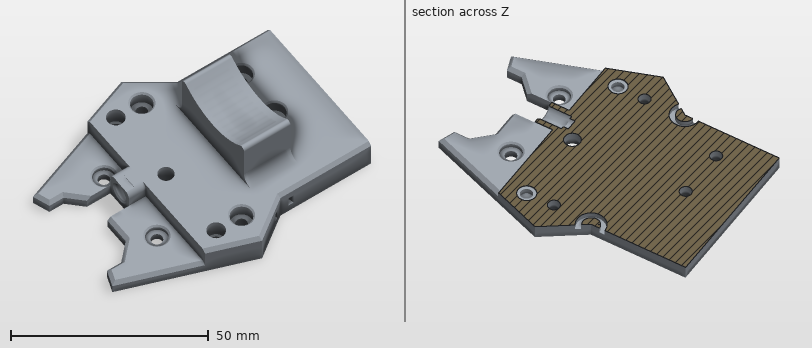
import cadquery as cq

length = 76.7
plate_height = 8.4
finger_height = 3.5
chamfer = 1.0
step_y = 22.85

rear_half_width = 22.4
shoulder_y = 48.55
elbow_half_width = 30.6
elbow_y = 36.95
tip_half_width = 17.25
tip_inner_half_width = 12.5
tip_slope = (elbow_half_width - tip_half_width) / elbow_y
tip_inner_y = (tip_half_width - tip_inner_half_width) * tip_slope
notch_half_width = 7.7
notch_y = 11.0
notch_corner_y = notch_y - (tip_inner_half_width - notch_half_width)

slot_left = -8.3
slot_right = -0.2
slot_center_x = (slot_left + slot_right) / 2
barrel_front_y = 17.6
barrel_round = 2.0
relief_depth = 0.2
relief_length = 2.45
relief_ramp_start = slot_left + barrel_round
relief_ramp_end = -4.4

bore_z = 4.45
bore_diameter = 5.0
bore_depth = 6.9
bore_tip_diameter = 3.4
bore_tip_depth = 1.5

saddle_top = 22.15
saddle_half_width = 13.4
saddle_front_y = 43.6
saddle_length = 14.4
saddle_foot_radius = 3.0
saddle_tip_radius = 1.0
saddle_bottom_z = 17.6
tip_center_x = saddle_half_width - saddle_tip_radius
tip_center_z = saddle_top - saddle_tip_radius
tip_rise = tip_center_z - saddle_bottom_z
cradle_radius = (tip_center_x**2 + tip_rise**2 - saddle_tip_radius**2) / (
    2 * (tip_rise + saddle_tip_radius)
)

screw_diameter = 3.2
head_diameter = 6.0
upper_head_depth = 3.7
finger_head_depth = 1.5
rim_chamfer = 0.45
upper_screws = [(-14.5, 62.7), (0, 62.7), (-21.6, 36.95), (21.6, 36.95)]
finger_screws = [(-11.5, 17.95), (11.5, 17.95)]

locating_y = 29.0
locating_half_spacing = 21.8
locating_diameter = 5.0
locating_depth = 5.0
locating_tip_diameter = 3.4
locating_tip_depth = 1.5
center_hole_diameter = 4.4

tie_inner_radius = 2.45
tie_outer_radius = 4.0
tie_bottom_z = 2.3
tie_height = 3.0


def chamfered_plate(height):
    """Whole outline at one height, top edge chamfered except along the rear."""
    right_side = [
        (rear_half_width, length),
        (rear_half_width, shoulder_y),
        (elbow_half_width, elbow_y),
        (tip_half_width, 0),
        (tip_inner_half_width, tip_inner_y),
        (tip_inner_half_width, notch_corner_y),
        (notch_half_width, notch_y),
    ]
    left_side = [(-x, y) for x, y in reversed(right_side)]
    plate = cq.Workplane("XY").polyline(right_side + left_side).close().extrude(height)
    return plate.faces(">Z").edges("not >Y").chamfer(chamfer)


def box(x_min, x_max, y_min, y_max, z_min, z_max):
    size = (x_max - x_min, y_max - y_min, z_max - z_min)
    return cq.Workplane("XY").box(*size, centered=False).translate((x_min, y_min, z_min))


def cylinder(x, y, z_min, z_max, diameter):
    return cq.Workplane("XY", origin=(x, y, z_min)).circle(diameter / 2).extrude(z_max - z_min)


def rim_cone(plane, diameter):
    """Countersink for the rim of a hole, widening against the plane normal."""
    return (
        cq.Workplane(plane)
        .circle(diameter / 2 + rim_chamfer)
        .workplane(offset=rim_chamfer)
        .circle(diameter / 2)
        .loft(ruled=True)
    )


def screw_hole(x, y, surface_z, head_depth):
    surface = cq.Plane(origin=(x, y, surface_z), xDir=(1, 0, 0), normal=(0, 0, -1))
    shank = cylinder(x, y, 0, surface_z, screw_diameter)
    head = cylinder(x, y, surface_z - head_depth, surface_z, head_diameter)
    return shank.union(head).union(rim_cone(surface, head_diameter))


def locating_hole(x):
    floor_z = plate_height - locating_depth
    hole = cylinder(x, locating_y, floor_z, plate_height, locating_diameter)
    return hole.union(
        cylinder(x, locating_y, floor_z - locating_tip_depth, floor_z, locating_tip_diameter)
    )


def saddle():
    """Cradle block with flared feet, side walls and rounded tips, drawn in X-Z and run along Y."""
    foot_x = saddle_half_width + saddle_foot_radius
    foot_top_z = plate_height + saddle_foot_radius
    cradle_center_z = saddle_bottom_z + cradle_radius
    tangent_share = cradle_radius / (cradle_radius + saddle_tip_radius)
    tangent_x = tip_center_x * tangent_share
    tangent_z = cradle_center_z + (tip_center_z - cradle_center_z) * tangent_share
    return (
        cq.Workplane("XZ", origin=(0, saddle_front_y + saddle_length, 0))
        .moveTo(-foot_x, plate_height)
        .radiusArc((-saddle_half_width, foot_top_z), -saddle_foot_radius)
        .lineTo(-saddle_half_width, tip_center_z)
        .radiusArc((-tangent_x, tangent_z), saddle_tip_radius)
        .threePointArc((0, saddle_bottom_z), (tangent_x, tangent_z))
        .radiusArc((saddle_half_width, tip_center_z), saddle_tip_radius)
        .lineTo(saddle_half_width, foot_top_z)
        .radiusArc((foot_x, plate_height), -saddle_foot_radius)
        .close()
        .extrude(saddle_length)
    )


def barrel():
    """Round-cornered block at the rear of the slot, with a shallow relief on its front top."""
    body = (
        box(slot_left, slot_right, barrel_front_y, step_y, 0, plate_height)
        .edges("|Y and >Z")
        .fillet(barrel_round)
    )
    relief = (
        cq.Workplane("XZ", origin=(0, barrel_front_y + relief_length, 0))
        .moveTo(relief_ramp_start, plate_height)
        .lineTo(relief_ramp_end, plate_height - relief_depth)
        .lineTo(slot_right, plate_height - relief_depth)
        .lineTo(slot_right, plate_height)
        .close()
        .extrude(relief_length)
    )
    return body.cut(relief)


def barrel_bore():
    mouth = cq.Plane(origin=(slot_center_x, barrel_front_y, bore_z), xDir=(1, 0, 0), normal=(0, 1, 0))
    bore = cq.Workplane(mouth).circle(bore_diameter / 2).extrude(bore_depth)
    tip = cq.Workplane(mouth).circle(bore_tip_diameter / 2).extrude(bore_depth + bore_tip_depth)
    return bore.union(tip).union(rim_cone(mouth, bore_diameter))


def tie_channel(side):
    return (
        cq.Workplane("XY", origin=(side * rear_half_width, shoulder_y, tie_bottom_z))
        .circle(tie_outer_radius)
        .circle(tie_inner_radius)
        .extrude(tie_height)
    )


upper_plate = chamfered_plate(plate_height).cut(
    box(-elbow_half_width, elbow_half_width, 0, step_y, 0, plate_height)
)
body = chamfered_plate(finger_height).union(upper_plate).union(saddle())
body = body.cut(box(slot_left, slot_right, 0, step_y, 0, finger_height))

for screw_x, screw_y in upper_screws:
    body = body.cut(screw_hole(screw_x, screw_y, plate_height, upper_head_depth))
for screw_x, screw_y in finger_screws:
    body = body.cut(screw_hole(screw_x, screw_y, finger_height, finger_head_depth))

for side in (-1, 1):
    body = body.cut(locating_hole(side * locating_half_spacing))
    body = body.cut(tie_channel(side))

body = body.cut(cylinder(0, locating_y, 0, plate_height, center_hole_diameter))
result = body.union(barrel()).cut(barrel_bore())